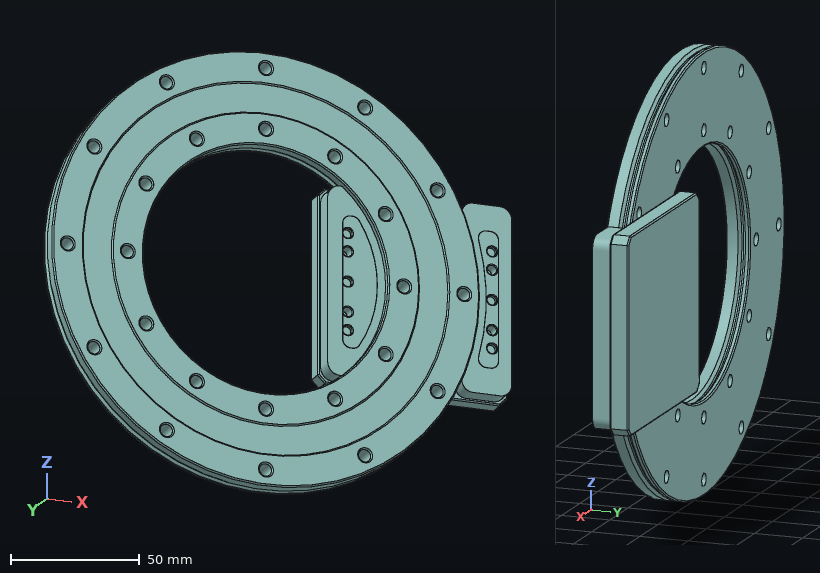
import cadquery as cq
import math


ring_radius = 89.0
bore_radius = 51.0
ring_width = 10.0
ring_edge_chamfer = 0.5
rim_groove_center = 6.5
rim_groove_mouth = 3.1
rim_groove_floor = 0.8
rim_groove_depth = 1.2

recess_inner_radius = 63.5
recess_outer_radius = 76.5
recess_depth = 0.5

hole_count = 12
inner_hole_circle_radius = 57.5
outer_hole_circle_radius = 82.5
ring_hole_diameter = 5.0
ring_hole_chamfer = 0.5

plate_right = 104.5
plate_length = 79.0
plate_height = 80.2
plate_front = 10.3
plate_back = 18.0
plate_corner_chamfer = 3.1
plate_edge_chamfer = 0.5

block_inset = 1.2
block_front = 2.7
block_corner_radius = 5.0
block_tip_radius = 4.5
block_gap = 0.1

pad_height = 0.2
pad_margin = 3.5
inner_pad_half_height = 27.1
outer_pad_half_height = 28.0
inner_pad_left = 33.0
outer_pad_right = 97.8
pad_corner_radius = 3.3

pad_hole_columns = (35.0, 95.0)
deep_hole_offset = 12.4
end_hole_offset = 20.0
deep_hole_depth = 5.8
shallow_hole_depth = 2.0
pad_hole_diameter = 3.9
pad_hole_chamfer = 0.4

plate_left = plate_right - plate_length
plate_middle = (plate_left + plate_right) / 2
block_left = plate_left + block_inset
block_right = plate_right - block_inset
block_half_height = plate_height / 2 - block_inset
pad_front = block_front - pad_height


def extrude_along_y(sketch_plane, y_start, y_end):
    """Extrude an X-Z outline drawn at y = 0 so that it fills y_start to y_end."""
    return sketch_plane.extrude(y_start - y_end).translate((0, y_start, 0))


def box_between(x_start, x_end, y_start, y_end, half_height):
    """Box that is symmetric about z = 0."""
    size = (x_end - x_start, y_end - y_start, 2 * half_height)
    center = ((x_start + x_end) / 2, (y_start + y_end) / 2, 0)
    return cq.Workplane("XY").box(*size).translate(center)


def disc(radius, y_start, y_end):
    """Cylinder about the ring axis."""
    return extrude_along_y(cq.Workplane("XZ").circle(radius), y_start, y_end)


def chamfered_hole(x, z, y_start, y_end, diameter, chamfer):
    """Drill shape from y_start to y_end that widens at y_start."""
    radius = diameter / 2
    profile = [
        (0, y_start),
        (radius + chamfer, y_start),
        (radius, y_start + chamfer),
        (radius, y_end),
        (0, y_end),
    ]
    drill = cq.Workplane("XY").polyline(profile).close().revolve(360, (0, 0, 0), (0, 1, 0))
    return drill.translate((x, 0, z))


def rim_groove(rim_radius, inward):
    """Trapezoidal groove in a rim; inward is -1 to cut towards the axis and 1 to cut away from it."""
    floor_radius = rim_radius + inward * rim_groove_depth
    profile = [
        (rim_radius, rim_groove_center - rim_groove_mouth / 2),
        (floor_radius, rim_groove_center - rim_groove_floor / 2),
        (floor_radius, rim_groove_center + rim_groove_floor / 2),
        (rim_radius, rim_groove_center + rim_groove_mouth / 2),
    ]
    return cq.Workplane("XY").polyline(profile).close().revolve(360, (0, 0, 0), (0, 1, 0))


def face_recess():
    """Annular recess with 45 degree walls in the front face."""
    profile = [
        (recess_inner_radius, 0),
        (recess_inner_radius + recess_depth, recess_depth),
        (recess_outer_radius - recess_depth, recess_depth),
        (recess_outer_radius, 0),
    ]
    return cq.Workplane("XY").polyline(profile).close().revolve(360, (0, 0, 0), (0, 1, 0))


def make_ring():
    ring = disc(ring_radius, 0, ring_width).cut(disc(bore_radius, 0, ring_width))
    ring = ring.faces("<Y or >Y").edges().chamfer(ring_edge_chamfer)
    ring = ring.cut(rim_groove(ring_radius, -1)).cut(rim_groove(bore_radius, 1)).cut(face_recess())
    for circle_radius in (inner_hole_circle_radius, outer_hole_circle_radius):
        for index in range(hole_count):
            angle = 2 * math.pi * index / hole_count
            x = circle_radius * math.cos(angle)
            z = circle_radius * math.sin(angle)
            hole = chamfered_hole(x, z, 0, ring_width, ring_hole_diameter, ring_hole_chamfer)
            ring = ring.cut(hole)
    return ring


def make_plate():
    plate = box_between(plate_left, plate_right, plate_front, plate_back, plate_height / 2)
    plate = plate.edges("|Y").chamfer(plate_corner_chamfer)
    return plate.faces("<Y or >Y").edges().chamfer(plate_edge_chamfer)


def inner_shape(left, half_height, arc_radius, y_start, y_end):
    """Segment with a straight left side and an arc about the ring axis on its right."""
    shape = box_between(left, arc_radius, y_start, y_end, half_height)
    return shape.intersect(disc(arc_radius, y_start, y_end))


def outer_shape(right, half_height, arc_radius, y_start, y_end):
    """Block with a straight right side and an arc about the ring axis on its left."""
    shape = box_between(plate_middle, right, y_start, y_end, half_height)
    return shape.cut(disc(arc_radius, y_start, y_end))


def make_inner_block():
    arc_radius = bore_radius - block_gap
    block = inner_shape(block_left, block_half_height, arc_radius, block_front, plate_front)
    block = block.edges("|Y and <X").fillet(block_corner_radius)
    pad_radius = arc_radius - pad_margin
    pad = inner_shape(inner_pad_left, inner_pad_half_height, pad_radius, pad_front, block_front)
    return block.union(pad.edges("|Y").fillet(pad_corner_radius))


def make_outer_block():
    arc_radius = ring_radius + block_gap
    block = outer_shape(block_right, block_half_height, arc_radius, block_front, plate_front)
    block = block.edges("|Y and >X").fillet(block_corner_radius)
    block = block.edges("|Y and <X").fillet(block_tip_radius)
    pad_radius = arc_radius + pad_margin
    pad = outer_shape(outer_pad_right, outer_pad_half_height, pad_radius, pad_front, block_front)
    return block.union(pad.edges("|Y").fillet(pad_corner_radius))


def pad_hole(x, z, depth):
    """Blind hole that starts at the front of a pad."""
    return chamfered_hole(x, z, pad_front, pad_front + depth, pad_hole_diameter, pad_hole_chamfer)


def make_carriage():
    carriage = make_plate().union(make_inner_block()).union(make_outer_block())
    for x in pad_hole_columns:
        for z in (-deep_hole_offset, deep_hole_offset):
            carriage = carriage.cut(pad_hole(x, z, deep_hole_depth))
        for z in (-end_hole_offset, 0, end_hole_offset):
            carriage = carriage.cut(pad_hole(x, z, shallow_hole_depth))
    return carriage


ring = make_ring()
carriage = make_carriage()

result = cq.Compound.makeCompound([ring.val(), carriage.val()])